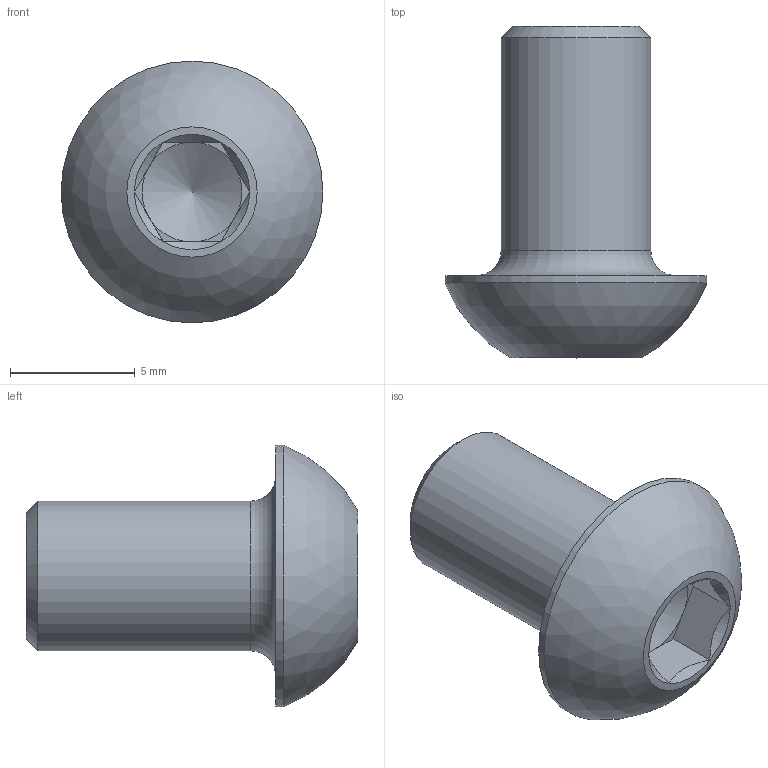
import cadquery as cq
import math


shank_diameter = 6.0
shank_length = 10.0
tip_chamfer = 0.47
neck_fillet_radius = 1.0

head_diameter = 10.5
head_height = 3.3
rim_thickness = 0.3
face_diameter = 5.22

hex_across_flats = 4.0
hex_depth = 2.08
lead_in_angle = 45.0
drill_point_angle = 120.0

shank_radius = shank_diameter / 2
head_radius = head_diameter / 2
face_radius = face_diameter / 2
hex_inner_radius = hex_across_flats / 2
hex_corner_radius = hex_inner_radius / math.cos(math.radians(30))


def dome_midpoint():
    """Point halfway up the spherical dome, whose centre lies on the axis."""
    rim_y = -rim_thickness
    face_y = -head_height
    centre_y = (head_radius**2 + rim_y**2 - face_radius**2 - face_y**2) / (2 * (rim_y - face_y))
    dome_radius = math.hypot(head_radius, rim_y - centre_y)
    middle_y = (rim_y + face_y) / 2
    return (math.sqrt(dome_radius**2 - (middle_y - centre_y) ** 2), middle_y)


def revolve_about_y(profile):
    return profile.close().revolve(360, (0, 0, 0), (0, 1, 0))


def make_body():
    """Head, neck fillet and chamfered shank as one revolved profile."""
    fillet_edge_radius = shank_radius + neck_fillet_radius
    profile = (
        cq.Workplane("XY")
        .moveTo(0, -head_height)
        .lineTo(face_radius, -head_height)
        .threePointArc(dome_midpoint(), (head_radius, -rim_thickness))
        .lineTo(head_radius, 0)
        .lineTo(fillet_edge_radius, 0)
        .radiusArc((shank_radius, neck_fillet_radius), neck_fillet_radius)
        .lineTo(shank_radius, shank_length - tip_chamfer)
        .lineTo(shank_radius - tip_chamfer, shank_length)
        .lineTo(0, shank_length)
    )
    return revolve_about_y(profile)


def make_hexagon():
    """Hexagonal prism with corners on the X axis, sunk from the head face."""
    return (
        cq.Workplane("XZ", origin=(0, -head_height + hex_depth, 0))
        .polygon(6, 2 * hex_corner_radius)
        .extrude(hex_depth)
    )


def make_lead_in():
    """Cone at the socket mouth, starting at the circle through the hexagon corners."""
    depth = hex_corner_radius * math.tan(math.radians(lead_in_angle))
    profile = (
        cq.Workplane("XY")
        .moveTo(0, -head_height)
        .lineTo(hex_corner_radius, -head_height)
        .lineTo(0, -head_height + depth)
    )
    return revolve_about_y(profile)


def make_drill_point():
    """Conical bottom of the socket, as wide as the hexagon across flats."""
    floor_y = -head_height + hex_depth
    depth = hex_inner_radius / math.tan(math.radians(drill_point_angle / 2))
    profile = (
        cq.Workplane("XY")
        .moveTo(0, floor_y)
        .lineTo(hex_inner_radius, floor_y)
        .lineTo(0, floor_y + depth)
    )
    return revolve_about_y(profile)


result = make_body().cut(make_hexagon()).cut(make_lead_in()).cut(make_drill_point())